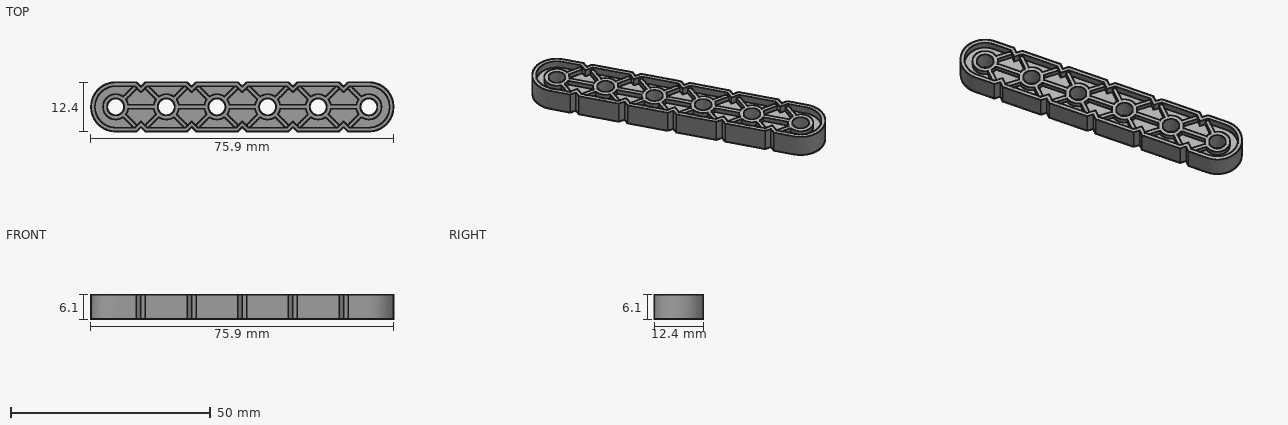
import cadquery as cq
import math

HOLE_COUNT = 6
PITCH = 12.7
WIDTH = 12.4
HEIGHT = 6.1
WALL = 1.0
FLOOR = 4.05
RIM_STEP = 0.76
HOLE_DIAMETER = 4.2
BOSS_DIAMETER = PITCH / 2
RIB_WIDTH = 1.0
NOTCH_DEPTH = 1.13

SPAN = (HOLE_COUNT - 1) * PITCH
HALF_WIDTH = WIDTH / 2
POCKET_DEPTH = HEIGHT - FLOOR
RIB_HEIGHT = POCKET_DEPTH - RIM_STEP
INNER_NOTCH_DEPTH = NOTCH_DEPTH + (math.sqrt(2) - 1) * WALL
DIAGONAL_LENGTH = (PITCH / 2 + HALF_WIDTH - NOTCH_DEPTH) / math.sqrt(2) - WALL / 2
HOLE_XS = [index * PITCH - SPAN / 2 for index in range(HOLE_COUNT)]
NOTCH_XS = [x + PITCH / 2 for x in HOLE_XS[:-1]]
HOLE_CENTRES = [(x, 0) for x in HOLE_XS]


def notched_bar(half_width, notch_depth, bottom, height):
    """Round-ended bar with a V notch in both long edges midway between holes."""
    outline = cq.Workplane("XY", origin=(0, 0, bottom)).moveTo(-SPAN / 2, -half_width)
    for x in NOTCH_XS:
        outline = outline.lineTo(x - notch_depth, -half_width)
        outline = outline.lineTo(x, notch_depth - half_width)
        outline = outline.lineTo(x + notch_depth, -half_width)
    outline = outline.lineTo(SPAN / 2, -half_width)
    outline = outline.threePointArc((SPAN / 2 + half_width, 0), (SPAN / 2, half_width))
    for x in reversed(NOTCH_XS):
        outline = outline.lineTo(x + notch_depth, half_width)
        outline = outline.lineTo(x, half_width - notch_depth)
        outline = outline.lineTo(x - notch_depth, half_width)
    outline = outline.lineTo(-SPAN / 2, half_width)
    outline = outline.threePointArc((-SPAN / 2 - half_width, 0), (-SPAN / 2, -half_width))
    return outline.close().extrude(height)


def rib(start_x, length, angle):
    """Straight rib running from (start_x, 0) at angle degrees to the X axis."""
    return (
        cq.Workplane("XY", origin=(start_x, 0, FLOOR))
        .transformed(rotate=(0, 0, angle))
        .rect(length, RIB_WIDTH, centered=(False, True))
        .extrude(RIB_HEIGHT)
    )


def rib_web():
    """Bosses, the ribs joining them, and the diagonal ribs from each boss to the notches beside it."""
    web = cq.Workplane("XY", origin=(0, 0, FLOOR)).pushPoints(HOLE_CENTRES)
    web = web.circle(BOSS_DIAMETER / 2).extrude(RIB_HEIGHT)
    web = web.union(rib(-SPAN / 2, SPAN, 0))
    for x in HOLE_XS[:-1]:
        for angle in (-45, 45):
            web = web.union(rib(x, DIAGONAL_LENGTH, angle))
    for x in HOLE_XS[1:]:
        for angle in (-135, 135):
            web = web.union(rib(x, DIAGONAL_LENGTH, angle))
    return web


pocket = notched_bar(HALF_WIDTH - WALL, INNER_NOTCH_DEPTH, FLOOR, POCKET_DEPTH)
shell = notched_bar(HALF_WIDTH, NOTCH_DEPTH, 0, HEIGHT).cut(pocket)
holes = cq.Workplane("XY").pushPoints(HOLE_CENTRES).circle(HOLE_DIAMETER / 2).extrude(HEIGHT)

result = shell.union(rib_web()).cut(holes)